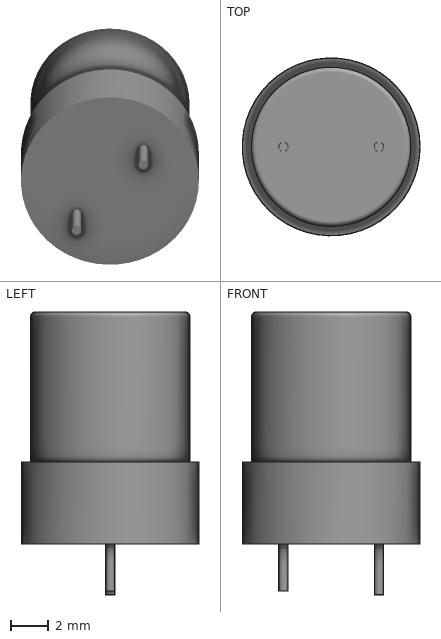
import cadquery as cq

BASE_DIAMETER = 9.5
BASE_HEIGHT = 4.4
CAN_DIAMETER = 8.5
CAN_HEIGHT = 8.0
CAN_EDGE_RADIUS = 0.25

PIN_DIAMETER = 0.5
PIN_SPACING = 5.1
SHORT_PIN_LENGTH = 2.5
LONG_PIN_LENGTH = 2.7


def make_housing():
    """Base and can in one solid, with the underside of the base at Z = 0."""
    base = cq.Workplane("XY").circle(BASE_DIAMETER / 2).extrude(BASE_HEIGHT)
    can = (
        cq.Workplane("XY")
        .workplane(offset=BASE_HEIGHT)
        .circle(CAN_DIAMETER / 2)
        .extrude(CAN_HEIGHT)
        .faces(">Z")
        .edges()
        .fillet(CAN_EDGE_RADIUS)
    )
    return base.union(can)


def make_pin(x, length):
    """Round pin hanging down from the underside of the base."""
    return cq.Workplane("XY").center(x, 0).circle(PIN_DIAMETER / 2).extrude(-length)


housing = make_housing()

pins = []
for side, length in [(-1, SHORT_PIN_LENGTH), (1, LONG_PIN_LENGTH)]:
    pins.append(make_pin(side * PIN_SPACING / 2, length).val())

result = cq.Compound.makeCompound([housing.val(), *pins])